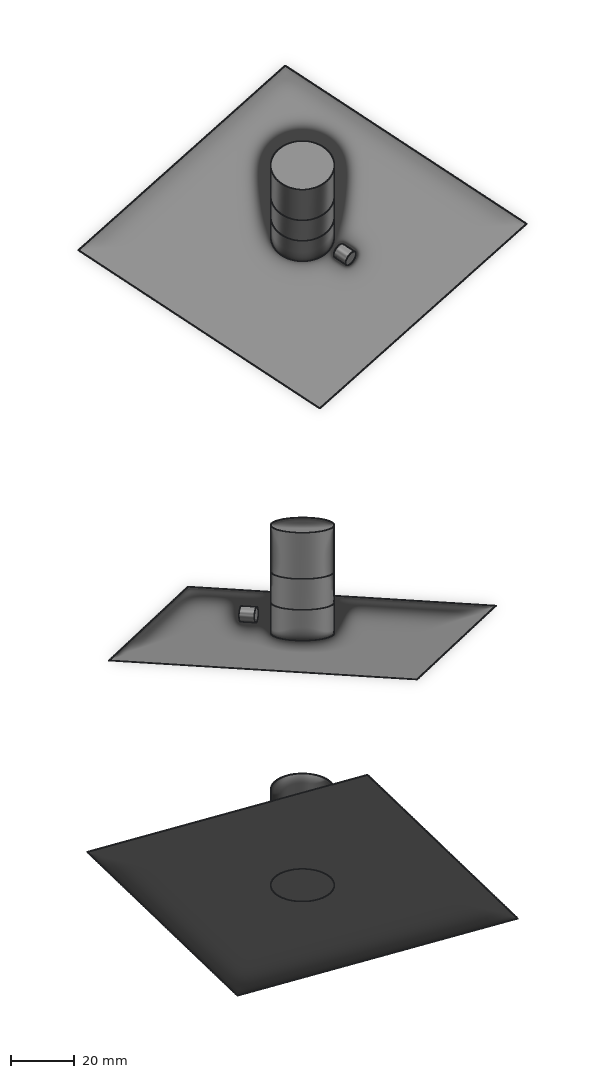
import cadquery as cq

plate_side = 100.0
plate_thickness = 0.01

column_diameter = 20.0
total_height = 35.0
base_height = 10.0
middle_height = 10.0
upper_bottom_z = base_height + middle_height

pin_diameter = 5.0
pin_length = 5.0
pin_start_x = 15.0
pin_axis_z = 5.0


def make_column_segment(bottom_z, top_z):
    """Solid cylinder on the Z axis between two heights."""
    return (
        cq.Workplane("XY")
        .workplane(offset=bottom_z)
        .circle(column_diameter / 2)
        .extrude(top_z - bottom_z)
    )


def make_base():
    """Square plate with the lowest column segment in one piece, underside at Z = 0."""
    plate = cq.Workplane("XY").rect(plate_side, plate_side).extrude(plate_thickness)
    return plate.union(make_column_segment(0, base_height))


def make_pin():
    """Cylinder parallel to X beside the column."""
    return (
        cq.Workplane("YZ")
        .workplane(offset=pin_start_x)
        .center(0, pin_axis_z)
        .circle(pin_diameter / 2)
        .extrude(pin_length)
    )


base = make_base()
middle_segment = make_column_segment(base_height, upper_bottom_z)
upper_segment = make_column_segment(upper_bottom_z, total_height)
pin = make_pin()

result = cq.Compound.makeCompound(
    [base.val(), middle_segment.val(), upper_segment.val(), pin.val()]
)